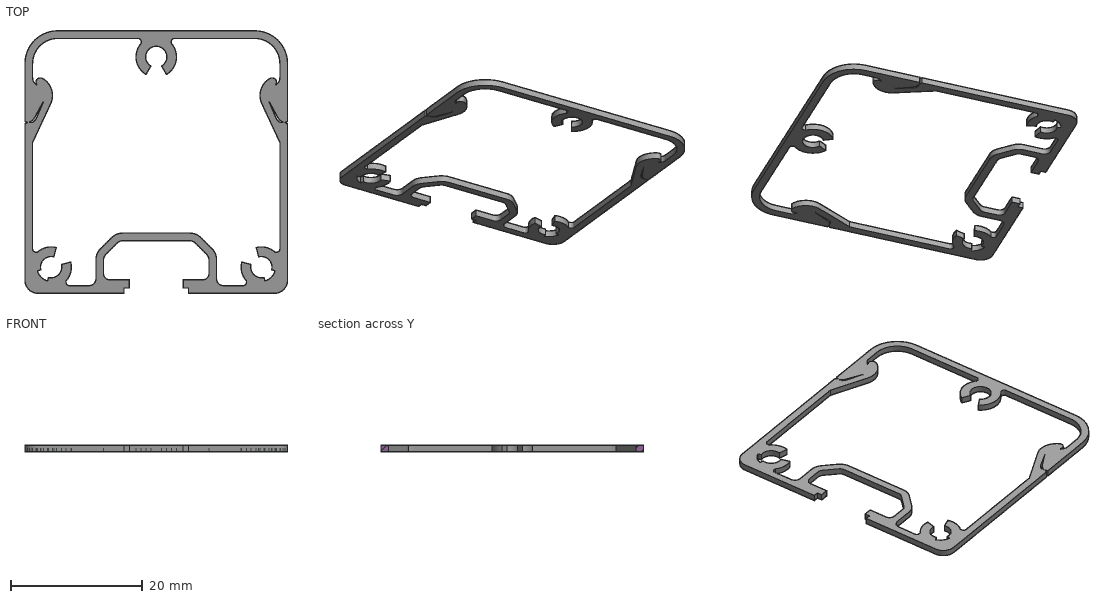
import cadquery as cq
import math

side = 40.0
thickness = 1.0
wall = 1.2
top_corner_radius = 5.0
bottom_corner_radius = 2.0
half = side / 2
wall_face = half - wall

boss_offset = 16.0
boss_radius = 3.1
screw_radius = 1.6
relief_radius = 2.15
mouth_half_angle = 30.0
neck_half_width = 2.3
neck_fillet = 0.45

channel_half_width = 8.0
channel_top = -12.0
channel_chamfer = 2.4
channel_shoulder_fillet = 1.1
lip_top = -17.9
lip_bottom = -19.2
lip_half_gap = 4.1
step_half_gap = 4.9
channel_floor_fillet = 0.9
channel_foot_fillet = 1.0

ear_x = -18.78
ear_y = 10.13
ear_radius = 3.0
ear_ramp_angle = 25.0
tip_radius = 0.7
tip_angle = 60.0
groove_radius = 1.2
groove_y = 12.8
crevice_undercut = 0.12

notch_y = 6.05
notch_upper_y = 6.15
notch_lower_y = 5.8
notch_depth = 0.4
slit_start = (-19.3, 6.05)
slit_end = (-17.2, 9.15)
slit_inner_bend = (-18.7, 6.5)
slit_inner_end = (-18.35, 7.05)
slit_outer_start = (-18.9, 6.05)
slit_outer_bend = (-18.48, 6.33)
slit_outer_end = (-18.18, 6.85)


def polar(center, radius, degrees):
    """Point on a circle, with the angle measured from +X."""
    angle = math.radians(degrees)
    return (center[0] + radius * math.cos(angle), center[1] + radius * math.sin(angle))


def block(x_min, x_max, y_min, y_max):
    """Full-thickness rectangular block."""
    return (
        cq.Workplane("XY")
        .center((x_min + x_max) / 2, (y_min + y_max) / 2)
        .rect(x_max - x_min, y_max - y_min)
        .extrude(thickness)
    )


def cylinder(center, radius):
    """Full-thickness disc."""
    return cq.Workplane("XY").center(*center).circle(radius).extrude(thickness)


def wedge(center, radius, direction, half_angle):
    """Full-thickness circular sector."""
    return (
        cq.Workplane("XY")
        .moveTo(*center)
        .lineTo(*polar(center, radius, direction - half_angle))
        .threePointArc(
            polar(center, radius, direction),
            polar(center, radius, direction + half_angle),
        )
        .close()
        .extrude(thickness)
    )


def both_sides(body):
    """The body together with its mirror image across the YZ plane."""
    return body.union(body.mirror("YZ"))


def fillet_corner(body, x, y, radius):
    """Round the upright edges at (x, y) and at (-x, y)."""
    reach = 0.05
    for corner_x in (x, -x):
        selector = cq.selectors.BoxSelector(
            (corner_x - reach, y - reach, -reach),
            (corner_x + reach, y + reach, thickness + reach),
        )
        body = body.edges(selector).edges("|Z").fillet(radius)
    return body


def make_frame():
    """Square ring, rounded more at the top; the lower inside corners are square."""
    outer = block(-half, half, -half, half)
    outer = outer.edges("|Z and >Y").fillet(top_corner_radius)
    outer = outer.edges("|Z and <Y").fillet(bottom_corner_radius)
    inner = block(-wall_face, wall_face, -wall_face, wall_face)
    inner = inner.edges("|Z and >Y").fillet(top_corner_radius - wall)
    return outer.cut(inner)


def channel_prism(bottom, margin, shoulder_fillet):
    """Prism of the channel section, grown sideways and upwards by a margin, with rounded shoulders."""
    edge_x = channel_half_width + margin
    top = channel_top + margin
    chamfer = channel_chamfer + margin * (2 - math.sqrt(2))
    shoulder_x = edge_x - chamfer
    shoulder_y = top - chamfer
    prism = cq.Workplane("XY").polyline([
        (-edge_x, bottom),
        (-edge_x, shoulder_y),
        (-shoulder_x, top),
        (shoulder_x, top),
        (edge_x, shoulder_y),
        (edge_x, bottom),
    ]).close().extrude(thickness)
    prism = fillet_corner(prism, edge_x, shoulder_y, shoulder_fillet)
    return fillet_corner(prism, shoulder_x, top, shoulder_fillet)


def add_channel(body):
    """Fold the bottom wall into a lipped channel, open downwards."""
    skin = channel_prism(-half, wall, channel_shoulder_fillet + wall)
    cavity = channel_prism(lip_top, 0, channel_shoulder_fillet)
    cavity = fillet_corner(cavity, channel_half_width, lip_top, channel_floor_fillet)
    body = body.union(skin).cut(cavity)
    body = body.cut(block(-lip_half_gap, lip_half_gap, -half, lip_top))
    body = body.cut(block(-step_half_gap, step_half_gap, -half, lip_bottom))
    return fillet_corner(body, channel_half_width + wall, -wall_face, channel_foot_fillet)


def add_top_boss(body):
    """Screw boss hanging from the middle of the top wall, open downwards."""
    center = (0, boss_offset)
    body = body.union(cylinder(center, boss_radius))
    body = body.union(block(-neck_half_width, neck_half_width, boss_offset, half))
    body = body.cut(cylinder(center, screw_radius))
    body = body.cut(wedge(center, 2 * boss_radius, -90, mouth_half_angle))
    return fillet_corner(body, -neck_half_width, wall_face, neck_fillet)


def add_corner_bosses(body):
    """Screw bosses in the lower corners, open towards the middle, relieved at the corner."""
    center = (-boss_offset, -boss_offset)
    neck_edge = -boss_offset + neck_half_width
    boss = cylinder(center, boss_radius)
    boss = boss.union(block(-wall_face, -boss_offset, -wall_face, neck_edge))
    boss = boss.union(block(-wall_face, neck_edge, -wall_face, -boss_offset))
    opening = cylinder(center, screw_radius)
    opening = opening.union(wedge(center, 2 * boss_radius, 45, mouth_half_angle))
    opening = opening.union(wedge(center, relief_radius, 225, mouth_half_angle))
    body = body.union(both_sides(boss)).cut(both_sides(opening))
    body = fillet_corner(body, -wall_face, neck_edge, neck_fillet)
    return fillet_corner(body, neck_edge, -wall_face, neck_fillet)


def make_ear():
    """Left ear: ramp, round lobe, hooked tip and groove, rooted in the side wall."""
    center = (ear_x, ear_y)
    ramp_end = polar(center, ear_radius, -ear_ramp_angle)
    ramp_rise = (ramp_end[0] + wall_face) / math.tan(math.radians(ear_ramp_angle))
    ramp_start = (-wall_face, ramp_end[1] - ramp_rise)

    tip_center = polar(center, ear_radius - tip_radius, tip_angle)
    tip_left = polar(tip_center, tip_radius, 180)

    groove_center = (-wall_face + groove_radius, groove_y)
    crevice_x = tip_left[0] + crevice_undercut
    crevice_drop = math.sqrt(groove_radius**2 - (groove_center[0] - crevice_x) ** 2)
    crevice = (crevice_x, groove_y - crevice_drop)
    crevice_angle = math.degrees(math.atan2(crevice_drop, groove_center[0] - crevice_x))

    root_x = -wall_face - wall / 2
    return (
        cq.Workplane("XY")
        .moveTo(root_x, ramp_start[1])
        .lineTo(*ramp_start)
        .lineTo(*ramp_end)
        .threePointArc(
            polar(center, ear_radius, (tip_angle - ear_ramp_angle) / 2),
            polar(center, ear_radius, tip_angle),
        )
        .threePointArc(polar(tip_center, tip_radius, (tip_angle + 180) / 2), tip_left)
        .lineTo(*crevice)
        .threePointArc(
            polar(groove_center, groove_radius, 180 + crevice_angle / 2),
            (-wall_face, groove_y),
        )
        .lineTo(root_x, groove_y)
        .close()
        .extrude(thickness)
    )


def make_break_line():
    """V-notch in the outer face and crescent slit through the left ear."""
    notch = (
        cq.Workplane("XY")
        .polyline([
            (-half, notch_upper_y),
            (-half + notch_depth, notch_y),
            (-half, notch_lower_y),
        ])
        .close()
        .extrude(thickness)
    )
    slit = (
        cq.Workplane("XY")
        .moveTo(*slit_start)
        .threePointArc(slit_inner_bend, slit_inner_end)
        .lineTo(*slit_end)
        .lineTo(*slit_outer_end)
        .threePointArc(slit_outer_bend, slit_outer_start)
        .close()
        .extrude(thickness)
    )
    return notch.union(slit)


frame = add_channel(make_frame())
frame = add_top_boss(frame)
frame = add_corner_bosses(frame)
frame = frame.union(both_sides(make_ear()))
result = frame.cut(both_sides(make_break_line()))